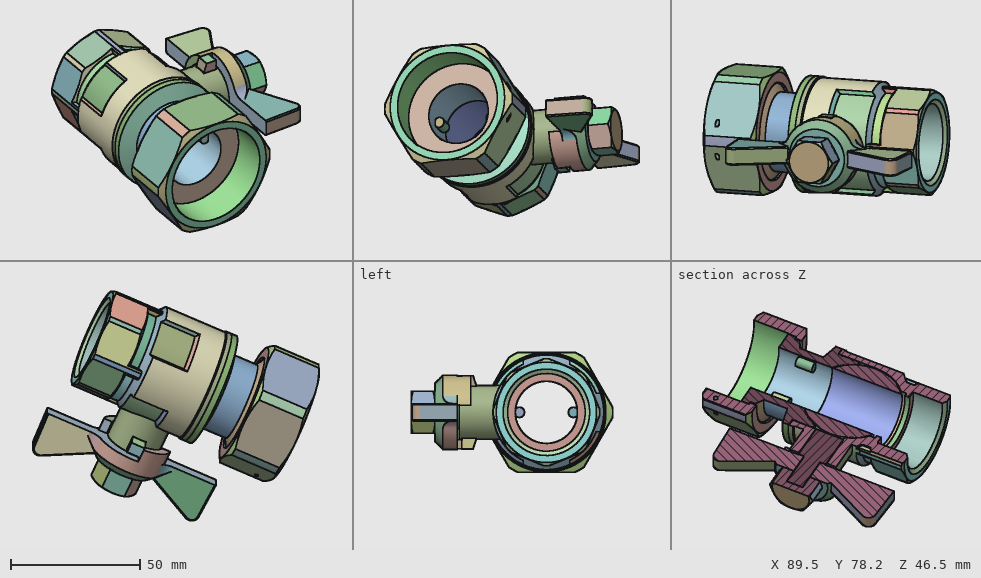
import cadquery as cq
import math


inlet_x = -32.5
seam_x = 16.5
bore_dia = 24.0
socket_dia = 30.1
socket_mouth_dia = 33.5
socket_chamfer = 1.25
socket_end_x = -18.5
bore_end_x = -16.5
relief_dia = 26.5
octagon_flats = 39.0
octagon_trim_dia = 41.5
octagon_face_dia = 38.9
octagon_chamfer = 0.7
octagon_end_x = -18.4
neck_dia = 37.4
neck_start_x = -17.2
neck_end_x = -13.8
barrel_start_x = -10.75
barrel_dia = 44.4
collar_x = 14.1
collar_chamfer = 0.45
collar_dia = 45.3
rib_width = 3.8
pocket_floor_dia = 41.4
pocket_floor_end_x = 2.4
pocket_end_x = 3.85
pocket_start_y = 9.0
pocket_start_z = 7.4

bonnet_dia = 20.95
bonnet_top_y = 33.8
stop_width = 5.55
stop_reach = 14.2
stop_top_y = 32.8
stop_tip_y = 28.4
stop_root_y = 27.1

ball_dia = 38.9
stem_dia = 12.5
spindle_dia = 8.5
spindle_end_y = 49.25
tang_length = 8.1
tang_width = 4.5
tang_bottom_y = 16.1

handle_bottom_y = 34.5
hub_top_y = 43.2
hub_dia = 28.8
hub_top_dia = 22.7
hub_blend_radius = 5.4
skirt_bottom_y = 29.3
skirt_inner_dia = 22.0
skirt_gap = stop_width / 2
wing_thickness = 6.8
wing_tip_x = 35.9
wing_upper_tip_x = 35.0
wing_corner_y = 53.8
wing_root_y = 42.0
wing_root_x = 12.1
wing_tip_radius = 3.0
wing_chamfer = 0.5

cap_flats = 16.4
cap_face_dia = 16.0
cap_height = 9.2
cap_chamfer = 0.7

spigot_start_x = 7.2
collar_end_x = 19.1
tail_dia = 31.0
tail_start_x = 20.9
flare_x = 30.9
flare_end_x = 32.9
flare_dia = 37.6
flange_dia = 40.3
flange_start_x = 34.9
flange_end_x = 38.5
lug_dia = 4.0
lug_offset = 10.5
lug_start_x = 22.4
lug_end_x = 29.55

union_x = 32.1
union_end_x = 53.6
union_flats = 46.5
union_trim_dia = 51.5
union_face_dia = 46.2
union_chamfer = 1.4
union_mouth_dia = 38.15
union_hole_dia = 1.5
union_hole_x = 47.9
union_hole_y = 23.0


def turned_x(points):
    """Solid of revolution about the flow axis from (x, radius) points."""
    return cq.Workplane("XY").polyline(points).close().revolve(360, (0, 0, 0), (1, 0, 0))


def turned_y(points):
    """Solid of revolution about the stem axis from (radius, y) points."""
    return cq.Workplane("XY").polyline(points).close().revolve(360, (0, 0, 0), (0, 1, 0))


def cylinder_x(dia, start, end):
    return cq.Workplane("YZ", origin=(start, 0, 0)).circle(dia / 2).extrude(end - start)


def cylinder_y(dia, start, end):
    return cq.Workplane("XZ", origin=(0, start, 0)).circle(dia / 2).extrude(start - end)


def prism_x(sides, flats, start, end):
    """Regular prism along X with a given size across flats and a corner on the Y axis."""
    across_corners = flats / math.cos(math.pi / sides)
    return cq.Workplane("YZ", origin=(start, 0, 0)).polygon(sides, across_corners).extrude(end - start)


def ball_x_at(dia):
    """Distance from the stem axis at which a circle of this diameter lies on the ball."""
    return math.sqrt((ball_dia / 2) ** 2 - (dia / 2) ** 2)


def make_body():
    barrel = turned_x([
        (octagon_end_x, 0),
        (octagon_end_x, neck_dia / 2),
        (neck_end_x, neck_dia / 2),
        (barrel_start_x, barrel_dia / 2),
        (collar_x, barrel_dia / 2),
        (collar_x + collar_chamfer, collar_dia / 2),
        (seam_x, collar_dia / 2),
        (seam_x, 0),
    ])

    grip_blank = turned_x([
        (inlet_x, 0),
        (inlet_x, octagon_face_dia / 2),
        (inlet_x + octagon_chamfer, octagon_trim_dia / 2),
        (octagon_end_x, octagon_trim_dia / 2),
        (neck_start_x, neck_dia / 2),
        (neck_start_x, 0),
    ])
    octagon = prism_x(8, octagon_flats, inlet_x, barrel_start_x)
    body = barrel.union(grip_blank.intersect(octagon))

    rib_start_x = octagon_end_x - rib_width
    rib_section = cq.Workplane("YZ", origin=(rib_start_x, 0, 0))
    rib_length = barrel_start_x - rib_start_x
    cross = rib_section.rect(rib_width, octagon_trim_dia).extrude(rib_length).union(
        rib_section.rect(octagon_trim_dia, rib_width).extrude(rib_length)
    )
    rib_round = cylinder_x(octagon_trim_dia, rib_start_x, barrel_start_x)
    body = body.union(cross.intersect(octagon).intersect(rib_round))

    pocket_ring = turned_x([
        (neck_end_x, pocket_floor_dia / 2),
        (pocket_floor_end_x, pocket_floor_dia / 2),
        (pocket_end_x, barrel_dia / 2),
        (pocket_end_x, collar_dia / 2),
        (neck_end_x, collar_dia / 2),
    ])
    quadrant = cq.Workplane("XY").box(2 * collar_dia, collar_dia, collar_dia)
    for side_y in (-1, 1):
        wall_z = pocket_start_z if side_y < 0 else 0
        for side_z in (-1, 1):
            corner = quadrant.translate((
                0,
                side_y * (pocket_start_y + collar_dia / 2),
                side_z * (wall_z + collar_dia / 2),
            ))
            body = body.cut(pocket_ring.intersect(corner))

    body = body.union(cylinder_y(bonnet_dia, 0, bonnet_top_y))
    for side in (-1, 1):
        lug = (
            cq.Workplane("YZ")
            .polyline([
                (stop_top_y, 0),
                (stop_top_y, side * stop_reach),
                (stop_tip_y, side * stop_reach),
                (stop_root_y, side * bonnet_dia / 2),
                (stop_root_y, 0),
            ])
            .close()
            .extrude(stop_width / 2, both=True)
        )
        body = body.union(lug)

    passage = (
        cq.Workplane("XY")
        .moveTo(inlet_x, 0)
        .lineTo(inlet_x, socket_mouth_dia / 2)
        .lineTo(inlet_x + socket_chamfer, socket_dia / 2)
        .lineTo(socket_end_x, socket_dia / 2)
        .lineTo(socket_end_x, bore_dia / 2)
        .lineTo(bore_end_x, bore_dia / 2)
        .lineTo(bore_end_x, relief_dia / 2)
        .lineTo(-ball_x_at(relief_dia), relief_dia / 2)
        .radiusArc((0, ball_dia / 2), ball_dia / 2)
        .lineTo(seam_x, ball_dia / 2)
        .lineTo(seam_x, 0)
        .close()
        .revolve(360, (0, 0, 0), (1, 0, 0))
    )
    return body.cut(passage).cut(cylinder_y(stem_dia, 0, bonnet_top_y))


def make_tang():
    height = ball_dia / 2 - tang_bottom_y
    return cq.Workplane("XY").box(tang_length, height, tang_width).translate(
        (0, tang_bottom_y + height / 2, 0)
    )


def make_ball():
    ball = cq.Workplane("XY").sphere(ball_dia / 2)
    return ball.cut(cylinder_x(bore_dia, -ball_dia / 2, ball_dia / 2)).cut(make_tang())


def make_stem():
    shaft = cylinder_y(stem_dia, ball_dia / 2, handle_bottom_y)
    spindle = cylinder_y(spindle_dia, handle_bottom_y, spindle_end_y)
    return shaft.union(spindle).union(make_tang())


def make_wing():
    wing = (
        cq.Workplane("XY")
        .polyline([
            (-wing_tip_x, handle_bottom_y),
            (-wing_upper_tip_x, wing_corner_y),
            (-wing_root_x, wing_root_y),
            (-wing_root_x, handle_bottom_y),
        ])
        .close()
        .extrude(wing_thickness / 2, both=True)
    )
    wing = wing.edges("|Z").edges(">Y").fillet(wing_tip_radius)
    return wing.faces("|Z").edges("not (<Y or >X)").chamfer(wing_chamfer)


def make_handle():
    cone_base_radius = hub_top_dia / 2 + hub_top_y - handle_bottom_y
    hub = cylinder_y(hub_dia, handle_bottom_y, hub_top_y)
    arms = (
        cq.Workplane("XZ", origin=(0, handle_bottom_y, 0))
        .rect(2 * cone_base_radius, wing_thickness)
        .extrude(handle_bottom_y - hub_top_y)
    )
    hub = hub.union(arms)
    hub_zone = cq.selectors.BoxSelector(
        (-hub_dia / 2, handle_bottom_y, -wing_thickness),
        (hub_dia / 2, hub_top_y, wing_thickness),
    )
    hub = hub.edges("|Y").edges(hub_zone).fillet(hub_blend_radius)
    cone = turned_y([
        (0, handle_bottom_y),
        (cone_base_radius, handle_bottom_y),
        (hub_top_dia / 2, hub_top_y),
        (0, hub_top_y),
    ])
    handle = hub.intersect(cone)

    wing = make_wing()
    handle = handle.union(wing).union(wing.mirror("YZ"))

    skirt = cylinder_y(hub_dia, skirt_bottom_y, handle_bottom_y).cut(
        cylinder_y(skirt_inner_dia, skirt_bottom_y, handle_bottom_y)
    )
    for side in (-1, 1):
        quarter = cq.Workplane("XY").box(hub_dia, 2 * hub_top_y, hub_dia).translate((
            side * (skirt_gap + hub_dia / 2),
            0,
            -side * (skirt_gap + hub_dia / 2),
        ))
        handle = handle.union(skirt.intersect(quarter))
    return handle.cut(cylinder_y(spindle_dia, handle_bottom_y, hub_top_y))


def make_handle_nut():
    cap_top_y = hub_top_y + cap_height
    corner_radius = cap_flats / math.sqrt(3)
    hexagon = (
        cq.Workplane("XZ", origin=(0, hub_top_y, 0))
        .polygon(6, 2 * corner_radius)
        .extrude(-cap_height)
    )
    blank = turned_y([
        (0, hub_top_y),
        (cap_face_dia / 2, hub_top_y),
        (corner_radius, hub_top_y + cap_chamfer),
        (corner_radius, cap_top_y - cap_chamfer),
        (cap_face_dia / 2, cap_top_y),
        (0, cap_top_y),
    ])
    return hexagon.intersect(blank).cut(cylinder_y(spindle_dia, hub_top_y, spindle_end_y))


def make_end_piece():
    seat_dia = 2 * math.sqrt((ball_dia / 2) ** 2 - spigot_start_x**2)
    end_piece = (
        cq.Workplane("XY")
        .moveTo(spigot_start_x, seat_dia / 2)
        .lineTo(spigot_start_x, ball_dia / 2)
        .lineTo(seam_x, ball_dia / 2)
        .lineTo(seam_x, collar_dia / 2)
        .lineTo(collar_end_x, collar_dia / 2)
        .lineTo(tail_start_x, tail_dia / 2)
        .lineTo(flare_x, tail_dia / 2)
        .lineTo(flare_end_x, flare_dia / 2)
        .lineTo(flange_start_x, flare_dia / 2)
        .lineTo(flange_start_x, flange_dia / 2)
        .lineTo(flange_end_x, flange_dia / 2)
        .lineTo(flange_end_x, bore_dia / 2)
        .lineTo(ball_x_at(bore_dia), bore_dia / 2)
        .radiusArc((spigot_start_x, seat_dia / 2), -ball_dia / 2)
        .close()
        .revolve(360, (0, 0, 0), (1, 0, 0))
    )
    for side in (-1, 1):
        lug = cylinder_x(lug_dia, lug_start_x, lug_end_x).translate((0, side * lug_offset, 0))
        end_piece = end_piece.union(lug)
    return end_piece


def make_union_nut():
    hexagon = prism_x(6, union_flats, union_x, union_end_x)
    blank = turned_x([
        (union_x, 0),
        (union_x, union_face_dia / 2),
        (union_x + union_chamfer, union_trim_dia / 2),
        (union_end_x - union_chamfer, union_trim_dia / 2),
        (union_end_x, union_face_dia / 2),
        (union_end_x, 0),
    ])
    nut = hexagon.intersect(blank)
    nut = nut.cut(cylinder_x(union_mouth_dia, union_x, flange_start_x))
    nut = nut.cut(cylinder_x(flange_dia, flange_start_x, union_end_x))
    wire_hole = (
        cq.Workplane("XY")
        .center(union_hole_x, union_hole_y)
        .circle(union_hole_dia / 2)
        .extrude(union_flats, both=True)
    )
    return nut.cut(wire_hole)


body = make_body()
ball = make_ball()
stem = make_stem()
handle = make_handle()
handle_nut = make_handle_nut()
end_piece = make_end_piece()
union_nut = make_union_nut()

bodies = [body, ball, stem, handle, handle_nut, end_piece, union_nut]
result = cq.Compound.makeCompound([part.solids().val() for part in bodies])